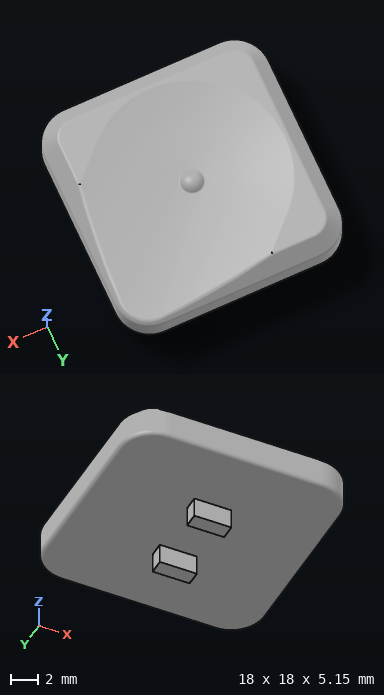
import cadquery as cq
import math

cap_width = 18.0
cap_height = 3.5
corner_radius = 2.75
top_chamfer = 1.22
edge_fillet = 0.3

dish_radius = 7.47
dish_depth = 0.9
trough_angle = 45.0

bump_radius = 0.9
bump_height = 0.54
bump_fillet = 0.13

stem_length = 3.0
stem_width = 1.2
stem_height = 1.65
stem_spacing = 5.75

overlap = 0.18
select_margin = 0.02

shoulder_height = cap_height - top_chamfer
dish_floor = cap_height - dish_depth


def cap_sphere_radius(rim_radius, rise):
    """Radius of the sphere whose cap has this rim radius and rise."""
    return (rim_radius**2 + rise**2) / (2 * rise)


def box_selector(half_width, bottom, top):
    """Selector for edges that lie wholly inside a box centred on the Z axis."""
    return cq.selectors.BoxSelector(
        (-half_width, -half_width, bottom - select_margin),
        (half_width, half_width, top + select_margin),
        boundingbox=True,
    )


def cap_body():
    """Square cap with round corners, a chamfer around the top and a rounded base and shoulder."""
    block = cq.Workplane("XY").rect(cap_width, cap_width).extrude(cap_height)
    block = block.edges("|Z").fillet(corner_radius)
    block = block.faces(">Z").chamfer(top_chamfer)
    base = box_selector(cap_width, 0, 0)
    shoulder = box_selector(cap_width, shoulder_height, shoulder_height)
    return block.edges(base + shoulder).fillet(edge_fillet)


def dish_cutter():
    """Spherical bowl that runs out as a straight trough towards the +X +Y corner."""
    sphere_radius = cap_sphere_radius(dish_radius, dish_depth)
    bowl = cq.Workplane("XY").sphere(sphere_radius).translate((0, 0, dish_floor + sphere_radius))
    bowl_half = cq.Workplane("XY").rect(cap_width, cap_width).extrude(cap_height)
    bowl = bowl.intersect(bowl_half.translate((-cap_width / 2, 0, 0)))
    trough = (
        cq.Workplane("YZ")
        .moveTo(-dish_radius, cap_height)
        .threePointArc((0, dish_floor), (dish_radius, cap_height))
        .close()
        .extrude(cap_width)
    )
    return bowl.union(trough).rotate((0, 0, 0), (0, 0, 1), trough_angle)


def cut_dish(body):
    """Cut the dish and round its rim, its runout edge and the rest of the top outline."""
    dished = body.cut(dish_cutter())
    joint_half_width = dish_radius * math.cos(math.radians(trough_angle)) + select_margin
    upper_edges = box_selector(cap_width, dish_floor, cap_height)
    joint_edges = box_selector(joint_half_width, dish_floor, cap_height)
    return dished.edges(upper_edges - joint_edges).fillet(edge_fillet)


def add_homing_bump(body):
    """Stand a spherical dome on the dish floor and blend its foot into the dish."""
    sphere_radius = cap_sphere_radius(bump_radius, bump_height)
    dome_centre = dish_floor + bump_height - sphere_radius
    dome = cq.Workplane("XY").sphere(sphere_radius).translate((0, 0, dome_centre))
    upper_space = cq.Workplane("XY").circle(cap_width).extrude(cap_height)
    upper_space = upper_space.translate((0, 0, dish_floor - overlap))
    bumped = body.union(dome.intersect(upper_space))
    foot = box_selector(bump_radius + select_margin, dish_floor, dish_floor + select_margin)
    return bumped.edges(foot).fillet(bump_fillet)


def stems():
    """Two rectangular legs below the cap, side by side along Y."""
    return (
        cq.Workplane("XY")
        .workplane(offset=-stem_height)
        .rarray(0.18, stem_spacing, 1, 2)
        .rect(stem_length, stem_width)
        .extrude(stem_height + overlap)
    )


cap = add_homing_bump(cut_dish(cap_body()))
result = cap.union(stems())